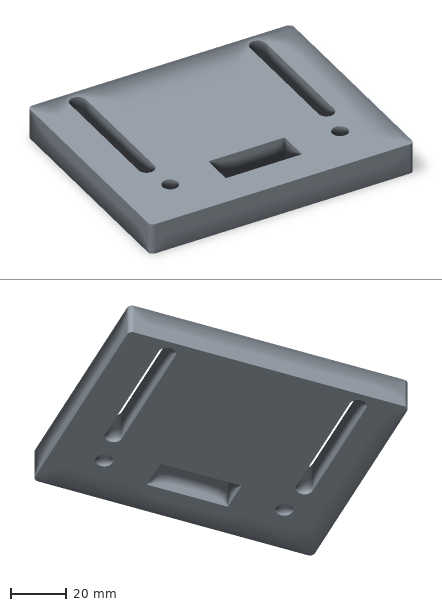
import cadquery as cq

plate_length_x = 90.0
plate_width_y = 110.0
plate_thickness = 12.7
corner_radius = 2.0

slot_width = 6.5
slot_travel = 50.0
slot_length = slot_travel + slot_width
slot_left_margin = 3.0
slot_spacing_y = 75.0

hole_line_from_right_edge = 20.0
window_size_x = 12.7
window_size_y = 31.75
hole_diameter = 6.5
hole_spacing_y = 70.8

slot_x = -plate_length_x / 2 + slot_left_margin + slot_length / 2
hole_line_x = plate_length_x / 2 - hole_line_from_right_edge


def mirrored_pair(x, spacing_y):
    """Two points at the same X, placed symmetrically about the X axis."""
    return [(x, side * spacing_y / 2) for side in (-1, 1)]


def make_plate():
    """Rectangular plate with rounded vertical corners."""
    plate = cq.Workplane("XY").box(
        plate_length_x, plate_width_y, plate_thickness, centered=(True, True, False)
    )
    return plate.edges("|Z").fillet(corner_radius)


def make_slots():
    """Cutters for the two through slots."""
    sketch = cq.Workplane("XY").pushPoints(mirrored_pair(slot_x, slot_spacing_y))
    return sketch.slot2D(slot_length, slot_width).extrude(plate_thickness)


def make_window():
    """Cutter for the rectangular through window."""
    sketch = cq.Workplane("XY").center(hole_line_x, 0)
    return sketch.rect(window_size_x, window_size_y).extrude(plate_thickness)


def make_round_holes():
    """Cutters for the two round through holes."""
    sketch = cq.Workplane("XY").pushPoints(mirrored_pair(hole_line_x, hole_spacing_y))
    return sketch.circle(hole_diameter / 2).extrude(plate_thickness)


result = make_plate().cut(make_slots()).cut(make_window()).cut(make_round_holes())